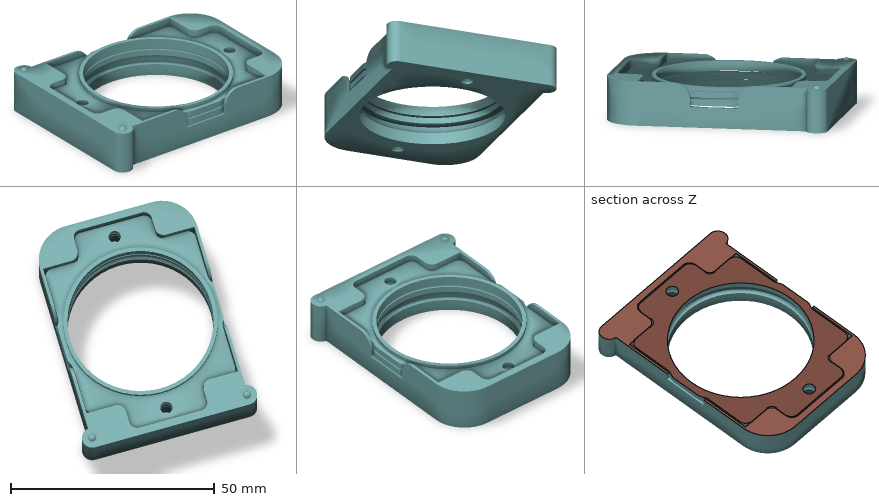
import cadquery as cq
import math


LENGTH = 56.45
HOUSING_WIDTH = 40.2
WIDTH_OVER_LOBES = 44.6
LOBE_LENGTH = 5.1
LOBE_RADIUS = 2.5
BACK_CORNER_RADIUS = 9.0
BACK_TOP_Z = 11.0
FRONT_TOP_Z = 10.8
OVERALL_HEIGHT = 11.45
BUMP_RADIUS = 1.0
BUMP_SPACING = 39.55

POCKET_FLOOR_Z = 5.0
POCKET_WIDTH = 38.7
POCKET_BODY_LENGTH = 38.5
POCKET_LENGTH = 52.7
NECK_WIDTH = 19.85
NECK_CORNER_RADIUS = 2.0
POCKET_ROOT_RADIUS = 2.2

NOTCH_WIDTH = 12.0
NOTCH_LIP_RADIUS = 4.0

BORE_DIAMETER = 35.9
FLOOR_RECESS_DIAMETER = 38.4
FLOOR_LEDGE_Z = 3.0
SCREW_HOLE_DIAMETER = 3.0
SCREW_HOLE_SPACING = 45.6

PLATE_SIDE_CLEARANCE = 0.2
PLATE_END_CLEARANCE = 0.2
PLATE_CORNER_RADIUS = 2.0
PLATE_ROOT_RADIUS = 1.5
LOWER_PLATE_BOTTOM_Z = 5.5
LOWER_PLATE_TOP_Z = 7.0
UPPER_PLATE_BOTTOM_Z = 7.5
UPPER_PLATE_TOP_Z = 9.0
RING_DIAMETER = 37.9
RING_TOP_Z = 10.0

TAB_TIP_X = 20.0
TAB_FLAT_LENGTH = 7.8
TAB_BLEND_RADIUS = 5.5 / 2

FRONT_Y = -LENGTH / 2
LOBE_Y = FRONT_Y + LOBE_LENGTH / 2
BUMP_CENTRES = [(-BUMP_SPACING / 2, LOBE_Y), (BUMP_SPACING / 2, LOBE_Y)]
SCREW_HOLE_CENTRES = [(0, -SCREW_HOLE_SPACING / 2), (0, SCREW_HOLE_SPACING / 2)]


def block(width, length, bottom_z, top_z):
    """Box centred on the Z axis, between two heights."""
    return (
        cq.Workplane("XY")
        .workplane(offset=bottom_z)
        .rect(width, length)
        .extrude(top_z - bottom_z)
    )


def discs(diameter, bottom_z, top_z, centres=((0, 0),)):
    """Upright cylinders at the given centres, between two heights."""
    return (
        cq.Workplane("XY")
        .workplane(offset=bottom_z)
        .pushPoints(centres)
        .circle(diameter / 2)
        .extrude(top_z - bottom_z)
    )


def necked_block(width, length, root_radius, bottom_z, top_z):
    """Wide body with a narrower neck at both ends, blended by a radius at the neck roots."""
    body = block(width, POCKET_BODY_LENGTH, bottom_z, top_z)
    neck = block(NECK_WIDTH, length, bottom_z, top_z)
    neck = neck.edges("|Z").fillet(NECK_CORNER_RADIUS)
    margin = NECK_CORNER_RADIUS
    neck_roots = cq.selectors.BoxSelector(
        (-NECK_WIDTH / 2 - margin, -POCKET_BODY_LENGTH / 2 - margin, bottom_z),
        (NECK_WIDTH / 2 + margin, POCKET_BODY_LENGTH / 2 + margin, top_z),
    )
    return body.union(neck).edges("|Z").edges(neck_roots).fillet(root_radius)


def finger_notch():
    """Cutter across both side walls; its lips flare out to the two top levels of the housing."""
    half_width = NOTCH_WIDTH / 2
    lip_y = half_width + NOTCH_LIP_RADIUS
    arc_inset = NOTCH_LIP_RADIUS * (1 - math.sqrt(0.5))
    return (
        cq.Workplane("YZ")
        .moveTo(-half_width, POCKET_FLOOR_Z)
        .lineTo(half_width, POCKET_FLOOR_Z)
        .lineTo(half_width, BACK_TOP_Z - NOTCH_LIP_RADIUS)
        .threePointArc((half_width + arc_inset, BACK_TOP_Z - arc_inset), (lip_y, BACK_TOP_Z))
        .lineTo(lip_y, OVERALL_HEIGHT)
        .lineTo(-lip_y, OVERALL_HEIGHT)
        .lineTo(-lip_y, FRONT_TOP_Z)
        .threePointArc(
            (-half_width - arc_inset, FRONT_TOP_Z - arc_inset),
            (-half_width, FRONT_TOP_Z - NOTCH_LIP_RADIUS),
        )
        .close()
        .extrude(HOUSING_WIDTH / 2, both=True)
    )


def lobe_bar():
    """Front bar whose rounded ends are the lobes; a narrow flat remains at each tip."""
    bar = block(WIDTH_OVER_LOBES, LOBE_LENGTH, 0, FRONT_TOP_Z)
    return bar.edges("|Z").fillet(LOBE_RADIUS).translate((0, LOBE_Y, 0))


def make_housing():
    walls = block(HOUSING_WIDTH, LENGTH, 0, BACK_TOP_Z)
    walls = walls.edges("|Z and >Y").fillet(BACK_CORNER_RADIUS)

    front_half = block(HOUSING_WIDTH, LENGTH / 2, FRONT_TOP_Z, BACK_TOP_Z)
    walls = walls.cut(front_half.translate((0, FRONT_Y / 2, 0)))

    square_corners = block(HOUSING_WIDTH, LOBE_LENGTH, 0, FRONT_TOP_Z)
    walls = walls.cut(square_corners.translate((0, LOBE_Y, 0)))
    housing = walls.union(lobe_bar())

    bump_z = OVERALL_HEIGHT - BUMP_RADIUS
    for x, y in BUMP_CENTRES:
        housing = housing.union(cq.Workplane("XY").sphere(BUMP_RADIUS).translate((x, y, bump_z)))

    pocket = necked_block(POCKET_WIDTH, POCKET_LENGTH, POCKET_ROOT_RADIUS, POCKET_FLOOR_Z, BACK_TOP_Z)
    return (
        housing.cut(pocket)
        .cut(finger_notch())
        .cut(discs(BORE_DIAMETER, 0, POCKET_FLOOR_Z))
        .cut(discs(FLOOR_RECESS_DIAMETER, FLOOR_LEDGE_Z, POCKET_FLOOR_Z))
        .cut(discs(SCREW_HOLE_DIAMETER, 0, POCKET_FLOOR_Z, SCREW_HOLE_CENTRES))
    )


def finger_tabs(side_x, bottom_z, top_z):
    """Bar across the plate whose two ends are the finger tabs."""
    half_rise = (TAB_TIP_X - side_x) / 2
    half_run = math.sqrt(TAB_BLEND_RADIUS**2 - (TAB_BLEND_RADIUS - half_rise) ** 2)
    tip_y = TAB_FLAT_LENGTH / 2
    middle_x = side_x + half_rise
    middle_y = tip_y + half_run
    root_y = middle_y + half_run
    return (
        cq.Workplane("XY")
        .workplane(offset=bottom_z)
        .moveTo(-side_x, root_y)
        .lineTo(side_x, root_y)
        .radiusArc((middle_x, middle_y), -TAB_BLEND_RADIUS)
        .radiusArc((TAB_TIP_X, tip_y), TAB_BLEND_RADIUS)
        .lineTo(TAB_TIP_X, -tip_y)
        .radiusArc((middle_x, -middle_y), TAB_BLEND_RADIUS)
        .radiusArc((side_x, -root_y), -TAB_BLEND_RADIUS)
        .lineTo(-side_x, -root_y)
        .radiusArc((-middle_x, -middle_y), -TAB_BLEND_RADIUS)
        .radiusArc((-TAB_TIP_X, -tip_y), TAB_BLEND_RADIUS)
        .lineTo(-TAB_TIP_X, tip_y)
        .radiusArc((-middle_x, middle_y), TAB_BLEND_RADIUS)
        .radiusArc((-side_x, root_y), -TAB_BLEND_RADIUS)
        .close()
        .extrude(top_z - bottom_z)
    )


def plate_blank(bottom_z, top_z):
    """Solid plate that fits the pocket, with rounded corners and finger tabs."""
    width = POCKET_WIDTH - 2 * PLATE_SIDE_CLEARANCE
    length = POCKET_LENGTH - 2 * PLATE_END_CLEARANCE
    plate = necked_block(width, length, PLATE_ROOT_RADIUS, bottom_z, top_z)
    plate = plate.edges("|Z and (<X or >X)").fillet(PLATE_CORNER_RADIUS)
    return plate.union(finger_tabs(width / 2, bottom_z, top_z))


def drill_plate(plate, top_z):
    """Cut the central bore and the screw holes through a plate."""
    plate = plate.cut(discs(BORE_DIAMETER, 0, top_z))
    return plate.cut(discs(SCREW_HOLE_DIAMETER, 0, top_z, SCREW_HOLE_CENTRES))


def make_lower_plate():
    plate = plate_blank(LOWER_PLATE_BOTTOM_Z, LOWER_PLATE_TOP_Z)
    return drill_plate(plate, LOWER_PLATE_TOP_Z)


def make_upper_plate():
    plate = plate_blank(UPPER_PLATE_BOTTOM_Z, UPPER_PLATE_TOP_Z)
    plate = plate.union(discs(RING_DIAMETER, UPPER_PLATE_BOTTOM_Z, RING_TOP_Z))
    return drill_plate(plate, RING_TOP_Z)


housing = make_housing()
lower_plate = make_lower_plate()
upper_plate = make_upper_plate()

result = cq.Compound.makeCompound([housing.val(), lower_plate.val(), upper_plate.val()])